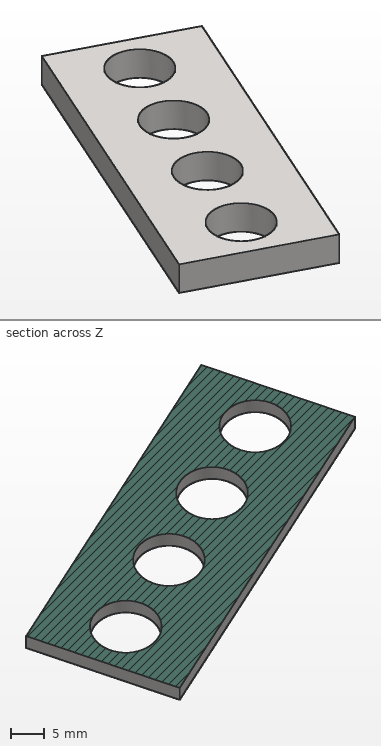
import cadquery as cq

length = 61.0
width = 25.0
thickness = 5.0

hole_count = 4
hole_diameter = 10.5
hole_pitch = 15.0

plate = cq.Workplane("XY").box(length, width, thickness)

result = (
    plate.faces(">Z")
    .workplane()
    .rarray(hole_pitch, 0.6, hole_count, 1)
    .hole(hole_diameter)
)